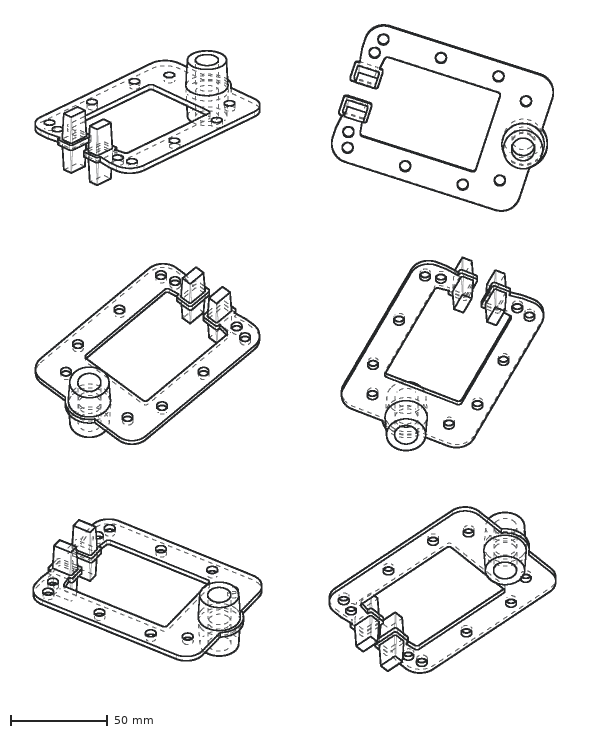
import cadquery as cq

plate_width = 75.0
plate_thickness = 3.0
plate_top_y = 48.8
plate_corner_radius = 10.0
window_width = 43.9
window_top_y = 22.6
window_corner_radius = 1.7

arm_center_y = -46.7
arm_root_half_height = 6.5
arm_tip_half_height = 5.4
pad_width = 10.4
pad_length = 15.2
pad_gap = 8.5
pad_corner_radius = 1.3

overall_height = 33.0
draft_angle = 3.0
boss_y = 41.7
boss_base_radius = 11.0
boss_bore_diameter = 12.0
boss_lug_radius = 12.6
prong_base_width = 7.1
prong_base_length = 11.8
prong_corner_radius = 0.9

hole_diameter = 5.5
inner_hole_x = 22.0
upper_inner_hole_y = 36.2
lower_inner_hole_y = -46.4
side_hole_x = 30.0
side_hole_top_y = 18.6
side_hole_pitch = 31.4
side_hole_count = 3

plate_bottom_y = arm_center_y - arm_root_half_height
standing_height = (overall_height - plate_thickness) / 2
pad_x = (pad_gap + pad_width) / 2
arm_tip_x = pad_gap / 2 + pad_width
arm_root_x = window_width / 2
sides = (-1, 1)


def make_slab(sketch):
    """Extrude an XY outline to the plate thickness, centred on Z = 0."""
    return sketch.extrude(plate_thickness / 2, both=True)


def make_frame():
    """Rounded plate with its window and the tapered gap between the arms."""
    plate_length = plate_top_y - plate_bottom_y
    frame = make_slab(
        cq.Workplane("XY")
        .center(0, (plate_top_y + plate_bottom_y) / 2)
        .rect(plate_width, plate_length)
    )
    frame = frame.edges("|Z").fillet(plate_corner_radius)

    window = make_slab(
        cq.Workplane("XY").polyline([
            (-arm_root_x, window_top_y),
            (arm_root_x, window_top_y),
            (arm_root_x, arm_center_y + arm_root_half_height),
            (arm_tip_x, arm_center_y + arm_tip_half_height),
            (-arm_tip_x, arm_center_y + arm_tip_half_height),
            (-arm_root_x, arm_center_y + arm_root_half_height),
        ]).close()
    )
    window = window.edges("|Z and (<X or >X)").fillet(window_corner_radius)

    arm_gap = make_slab(
        cq.Workplane("XY").polyline([
            (-arm_tip_x, arm_center_y + arm_tip_half_height),
            (arm_tip_x, arm_center_y + arm_tip_half_height),
            (arm_tip_x, arm_center_y - arm_tip_half_height),
            (arm_root_x, plate_bottom_y),
            (-arm_root_x, plate_bottom_y),
            (-arm_tip_x, arm_center_y - arm_tip_half_height),
        ]).close()
    )
    return frame.cut(window).cut(arm_gap)


def make_pads():
    """Rounded rectangular pads closing the ends of the arms."""
    pads = make_slab(
        cq.Workplane("XY")
        .pushPoints([(side * pad_x, arm_center_y) for side in sides])
        .rect(pad_width, pad_length)
    )
    return pads.edges("|Z").fillet(pad_corner_radius)


def make_lug():
    """Round lug carrying the boss past the top edge of the plate."""
    return make_slab(cq.Workplane("XY").center(0, boss_y).circle(boss_lug_radius))


def make_boss():
    """Drafted boss above the plate, bored down to the plate face."""
    face = cq.Workplane("XY", origin=(0, boss_y, plate_thickness / 2))
    boss = face.circle(boss_base_radius).extrude(standing_height, taper=draft_angle)
    return boss.cut(face.circle(boss_bore_diameter / 2).extrude(standing_height))


def make_prong(side):
    """Drafted prong above one pad; its corner rounding fades out towards the tip."""
    outline = (
        cq.Sketch()
        .rect(prong_base_width, prong_base_length)
        .vertices()
        .fillet(prong_corner_radius)
    )
    return (
        cq.Workplane("XY", origin=(side * pad_x, arm_center_y, plate_thickness / 2))
        .placeSketch(outline)
        .extrude(standing_height, taper=draft_angle)
    )


def mounting_hole_points():
    """Centres of the mounting holes, mirrored about the YZ plane."""
    points = []
    for side in sides:
        points.append((side * inner_hole_x, upper_inner_hole_y))
        points.append((side * inner_hole_x, lower_inner_hole_y))
        for index in range(side_hole_count):
            points.append((side * side_hole_x, side_hole_top_y - index * side_hole_pitch))
    return points


holes = make_slab(
    cq.Workplane("XY").pushPoints(mounting_hole_points()).circle(hole_diameter / 2)
)
result = make_frame().union(make_pads()).union(make_lug()).cut(holes)

for standing_feature in [make_boss()] + [make_prong(side) for side in sides]:
    result = result.union(standing_feature)
    result = result.union(standing_feature.mirror("XY"))